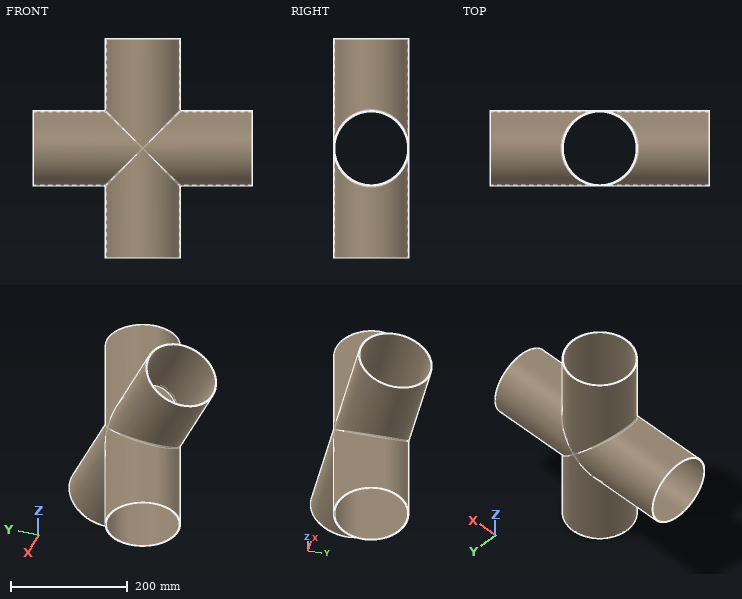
import cadquery as cq
import math

span = 375.0
outer_diameter = 129.0
inner_diameter = 125.0
crotch_fillet = 2.0
fillet_end_angle = 60

outer_radius = outer_diameter / 2
fillet_half_depth = outer_radius * math.sin(math.radians(fillet_end_angle))


def pipe_cross(diameter):
    """Two equal cylinders along X and Z, crossing at the origin."""
    along_x = cq.Workplane("YZ").circle(diameter / 2).extrude(span / 2, both=True)
    along_z = cq.Workplane("XY").circle(diameter / 2).extrude(span / 2, both=True)
    return along_x.union(along_z)


def filleted_elbow(cross):
    """The +X +Z quarter of the cross, with its crotch filleted.

    It stops short of the middle in Y, where the four creases meet.
    """
    quarter = cq.Workplane("XY").box(
        span / 2, 2 * fillet_half_depth, span / 2, centered=(False, True, False)
    )
    elbow = cross.intersect(quarter)
    crotch_point = (outer_radius, 0, outer_radius)
    crease = cq.selectors.NearestToPointSelector(crotch_point)
    return elbow.edges(crease).fillet(crotch_fillet)


sharp_cross = pipe_cross(outer_diameter)
elbow = filleted_elbow(sharp_cross)
outer_body = sharp_cross
for quarter_turn in range(4):
    turned_elbow = elbow.rotate((0, 0, 0), (0, 1, 0), 90 * quarter_turn)
    outer_body = outer_body.union(turned_elbow)

result = outer_body.cut(pipe_cross(inner_diameter))